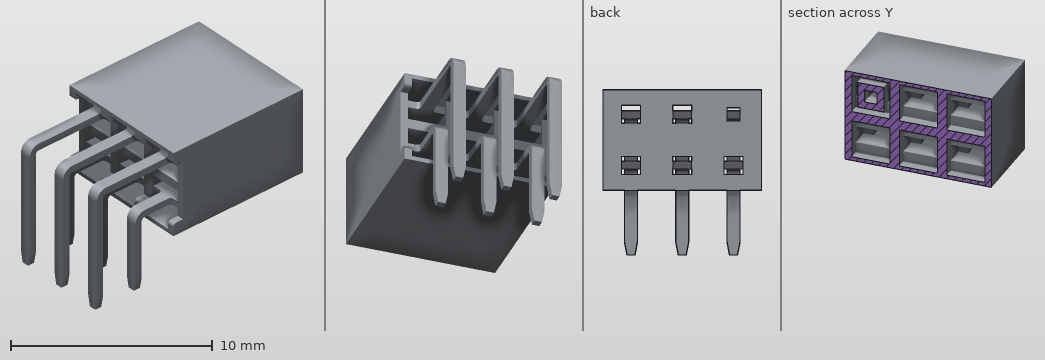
import cadquery as cq


PITCH = 2.54
COLUMNS = 3

BODY_WIDTH = 7.87
BODY_LENGTH = 8.5
BODY_HEIGHT = 5.0
LIP_DEPTH = 0.62
LIP_HEIGHT = 0.74
LIP_RADIUS = 0.2

CELL_SIZE = 2.0
CELL_DEPTH = 4.0
SLOT_HEIGHT = 0.88
SLOT_DEPTH = 1.0
WINDOW_WIDTH = 0.92

COLLAR_SIZE = 1.41
COLLAR_LENGTH = 1.0
COLLAR_HOLE = 0.64

PIN_WIDTH = 0.66
PIN_ROW_PITCH = 2.5
PIN_THICKNESS = 0.4
SHOULDER_SETBACK = 0.15
SHOULDER_LENGTH = 1.5
SHOULDER_FILLET = 0.2
BEND_OUTER_RADIUS = 0.6
BEND_INNER_RADIUS = BEND_OUTER_RADIUS - PIN_THICKNESS
TIP_WIDTH = 0.4
TIP_LENGTH = 0.66
PIN_DROP = 3.2
UPPER_PIN_REACH = 4.1
LOWER_PIN_REACH = UPPER_PIN_REACH - PITCH

LOWER_ROW_Z = (BODY_HEIGHT - PITCH) / 2
UPPER_ROW_Z = LOWER_ROW_Z + PITCH
LOWER_PIN_Z = (BODY_HEIGHT - PIN_ROW_PITCH) / 2
UPPER_PIN_Z = LOWER_PIN_Z + PIN_ROW_PITCH
COLUMN_XS = [(i - (COLUMNS - 1) / 2) * PITCH for i in range(COLUMNS)]
CELL_FLOOR_Y = LIP_DEPTH + CELL_DEPTH
SLOT_FLOOR_Y = CELL_FLOOR_Y + SLOT_DEPTH
SHOULDER_FRONT_Y = LIP_DEPTH + SHOULDER_SETBACK


def block(x, z, width, height, y_start, y_end):
    """Box centred on (x, z) that spans y_start to y_end."""
    length = y_end - y_start
    return cq.Workplane("XY").box(width, length, height).translate((x, y_start + length / 2, z))


def make_housing():
    """Block with a recessed front between an upper and a lower lip, rounded on their inner edges."""
    lower_lip_z = LIP_HEIGHT
    upper_lip_z = BODY_HEIGHT - LIP_HEIGHT
    profile = (
        cq.Workplane("YZ")
        .moveTo(0, 0)
        .lineTo(BODY_LENGTH, 0)
        .lineTo(BODY_LENGTH, BODY_HEIGHT)
        .lineTo(0, BODY_HEIGHT)
        .lineTo(0, upper_lip_z + LIP_RADIUS)
        .radiusArc((LIP_RADIUS, upper_lip_z), -LIP_RADIUS)
        .lineTo(LIP_DEPTH, upper_lip_z)
        .lineTo(LIP_DEPTH, lower_lip_z)
        .lineTo(LIP_RADIUS, lower_lip_z)
        .radiusArc((0, lower_lip_z - LIP_RADIUS), -LIP_RADIUS)
        .close()
    )
    return profile.extrude(BODY_WIDTH / 2, both=True)


def make_cell(x, z):
    """Cavity of one cell, from the lip fronts through to the mating face."""
    pocket = block(x, z, CELL_SIZE, CELL_SIZE, 0, CELL_FLOOR_Y)
    slot = block(x, z, CELL_SIZE, SLOT_HEIGHT, CELL_FLOOR_Y, SLOT_FLOOR_Y)
    window = block(x, z, WINDOW_WIDTH, SLOT_HEIGHT, SLOT_FLOOR_Y, BODY_LENGTH)
    return pocket.union(slot).union(window)


def make_collar(x, z):
    """Square tube that starts inside the pocket and runs back to the mating face."""
    y_start = CELL_FLOOR_Y - COLLAR_LENGTH
    collar = block(x, z, COLLAR_SIZE, COLLAR_SIZE, y_start, BODY_LENGTH)
    return collar.cut(block(x, z, COLLAR_HOLE, COLLAR_HOLE, y_start, BODY_LENGTH))


def make_pin_outline():
    """Prism along Y with the width of a pin and its tapered lower tip."""
    tip_base = -PIN_DROP + TIP_LENGTH
    return (
        cq.Workplane("XZ")
        .moveTo(-TIP_WIDTH / 2, -PIN_DROP)
        .lineTo(TIP_WIDTH / 2, -PIN_DROP)
        .lineTo(PIN_WIDTH / 2, tip_base)
        .lineTo(PIN_WIDTH / 2, BODY_HEIGHT)
        .lineTo(-PIN_WIDTH / 2, BODY_HEIGHT)
        .lineTo(-PIN_WIDTH / 2, tip_base)
        .close()
        .extrude(UPPER_PIN_REACH + BODY_LENGTH, both=True)
    )


def make_shoulder_fillet(x, bottom, sign):
    """Concave corner between one side of the pin and the shoulder plate."""
    pin_side = x + sign * PIN_WIDTH / 2
    return (
        cq.Workplane("XY", origin=(0, 0, bottom))
        .moveTo(pin_side, SHOULDER_FRONT_Y)
        .lineTo(pin_side + sign * SHOULDER_FILLET, SHOULDER_FRONT_Y)
        .radiusArc((pin_side, SHOULDER_FRONT_Y - SHOULDER_FILLET), -sign * SHOULDER_FILLET)
        .close()
        .extrude(PIN_THICKNESS)
    )


def make_terminal(x, z, reach):
    """Flat shoulder plate in the cell with a pin bent down in front of the housing."""
    top = z + PIN_THICKNESS / 2
    bottom = z - PIN_THICKNESS / 2
    front = -reach
    side = (
        cq.Workplane("YZ")
        .moveTo(SHOULDER_FRONT_Y, top)
        .lineTo(front + BEND_OUTER_RADIUS, top)
        .radiusArc((front, top - BEND_OUTER_RADIUS), -BEND_OUTER_RADIUS)
        .lineTo(front, -PIN_DROP)
        .lineTo(front + PIN_THICKNESS, -PIN_DROP)
        .lineTo(front + PIN_THICKNESS, bottom - BEND_INNER_RADIUS)
        .radiusArc((front + BEND_OUTER_RADIUS, bottom), BEND_INNER_RADIUS)
        .lineTo(SHOULDER_FRONT_Y, bottom)
        .close()
        .extrude(PIN_WIDTH / 2, both=True)
    )
    pin = side.intersect(make_pin_outline()).translate((x, 0, 0))
    plate = block(x, z, CELL_SIZE, PIN_THICKNESS, SHOULDER_FRONT_Y, SHOULDER_FRONT_Y + SHOULDER_LENGTH)
    terminal = plate.union(pin)
    for sign in (-1, 1):
        terminal = terminal.union(make_shoulder_fillet(x, bottom, sign))
    return terminal


result = make_housing()
for row_z in (LOWER_ROW_Z, UPPER_ROW_Z):
    for column_x in COLUMN_XS:
        result = result.cut(make_cell(column_x, row_z))

result = result.union(make_collar(COLUMN_XS[0], UPPER_ROW_Z))

for pin_z, reach in ((LOWER_PIN_Z, LOWER_PIN_REACH), (UPPER_PIN_Z, UPPER_PIN_REACH)):
    for column_x in COLUMN_XS:
        result = result.union(make_terminal(column_x, pin_z, reach))